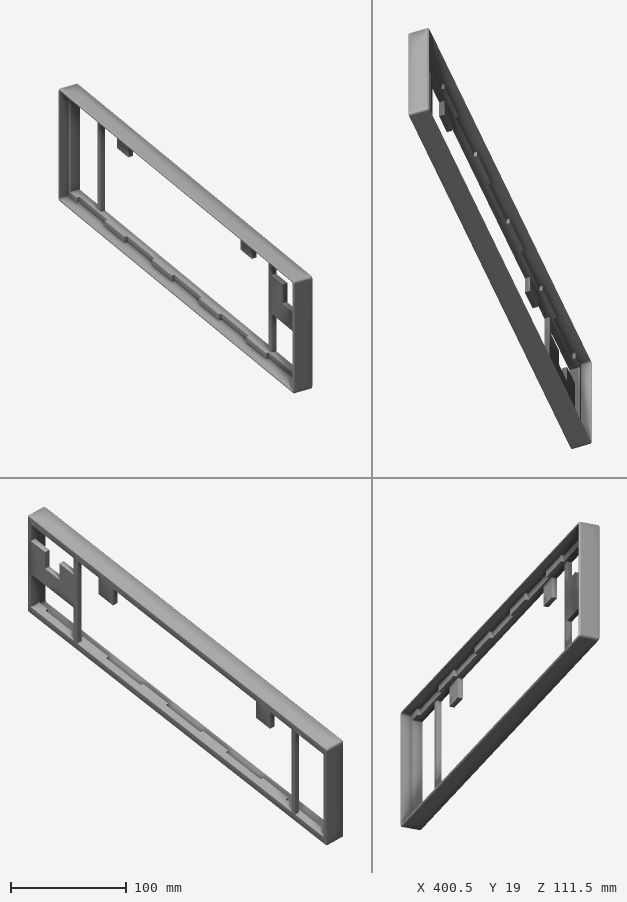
import cadquery as cq

length = 400.5
depth = 19.0
height = 111.5
wall = 2.0
outer_radius = 2.5
rim_chamfer = 1.0
inner_radius = 2.5
corner_radius = 1.0

opening_length = 391.0
opening_height = 95.5
key_rows = 5
key_pitch = opening_height / key_rows

ledge_thickness = 7.0
pad_thickness = 9.5
bar_thickness = 5.0

pad_length = 33.5
pad_pitch = 80.0
pad_count = 4
corner_pad_inner_x = 184.2
pocket_radius = 2.0

hole_diameter = 1.65
hole_xs = [-193.0, -53.0, 53.0, 193.0]
hole_z = 51.0

bar_width = 5.0
left_bar_x = -157.5
right_opening_edge = opening_length / 2
panel_keys = 3
right_bar_x = right_opening_edge - panel_keys * key_pitch

tab_left_xs = [-124.0, 85.7]

back_y = depth / 2
inner_length = length - 2 * wall
inner_height = height - 2 * wall
opening_top = opening_height / 2

panel_rows = 2
panel_top = opening_top - key_pitch
panel_bottom = panel_top - panel_rows * key_pitch


def block(x_min, x_max, z_min, z_max, thickness):
    """Box standing forward from the back face."""
    corner = (x_min, back_y - thickness, z_min)
    return cq.Workplane("XY").box(x_max - x_min, thickness, z_max - z_min, centered=False).translate(corner)


def rim():
    """Thin rounded wall around the whole part, with chamfered outer front and back edges."""
    outer = cq.Workplane("XY").box(length, depth, height).edges("|Y").fillet(outer_radius)
    outer = outer.faces("<Y or >Y").chamfer(rim_chamfer)
    inner = cq.Workplane("XY").box(inner_length, depth, inner_height).edges("|Y").fillet(inner_radius)
    return outer.cut(inner)


def ledge():
    """Inner ledge: pad-thick at both ends, thinner along the top and bottom between the pads."""
    half_x = inner_length / 2
    half_z = inner_height / 2
    plate = block(-half_x, half_x, -half_z, half_z, pad_thickness)
    plate = plate.edges("|Y").fillet(inner_radius)
    pad_step = pad_thickness - ledge_thickness
    recess_y = back_y - pad_thickness + pad_step / 2
    recess = cq.Workplane("XY").box(2 * corner_pad_inner_x, pad_step, inner_height).translate((0, recess_y, 0))
    recess = recess.edges("|Y").fillet(pocket_radius)
    first_pad_x = -pad_pitch * (pad_count - 1) / 2
    for index in range(pad_count):
        pad_x = first_pad_x + index * pad_pitch
        recess = recess.cut(cq.Workplane("XY").box(pad_length, depth, height).translate((pad_x, 0, 0)))
    opening = cq.Workplane("XY").box(opening_length, depth, opening_height)
    opening = opening.edges("|Y").fillet(corner_radius)
    return plate.cut(recess).cut(opening)


def bars():
    """Two upright bars spanning the opening."""
    left = block(left_bar_x, left_bar_x + bar_width, -opening_top, opening_top, bar_thickness)
    right = block(right_bar_x - bar_width, right_bar_x, -opening_top, opening_top, bar_thickness)
    return left.union(right)


def notched_panel():
    """Panel three keys wide and two rows high with a one-key notch in its top edge."""
    panel = block(right_bar_x, right_opening_edge, panel_bottom, panel_top, bar_thickness)
    notch_x = right_bar_x + key_pitch
    notch = block(notch_x, notch_x + key_pitch, panel_top - key_pitch, panel_top, bar_thickness)
    notch = notch.edges("|Y and <Z").fillet(corner_radius)
    return panel.cut(notch)


def screw_holes():
    """Holes through the pads of the top and bottom ledges."""
    points = [(x, z) for x in hole_xs for z in (-hole_z, hole_z)]
    return cq.Workplane("XZ", origin=(0, back_y, 0)).pushPoints(points).circle(hole_diameter / 2).extrude(depth)


def panel_joint_edges(part):
    """Inside corners where the notched panel meets the right-hand ledge."""
    reach = corner_radius / 2
    near = (right_opening_edge - reach, back_y - bar_thickness - reach, panel_bottom - reach)
    far = (right_opening_edge + reach, back_y + reach, panel_top + reach)
    return part.edges(cq.selectors.BoxSelector(near, far)).edges("|Y")


result = rim().union(ledge()).union(bars()).union(notched_panel())
for tab_x in tab_left_xs:
    result = result.union(block(tab_x, tab_x + key_pitch, opening_top - key_pitch, opening_top, bar_thickness))
result = panel_joint_edges(result).fillet(corner_radius)
result = result.cut(screw_holes())